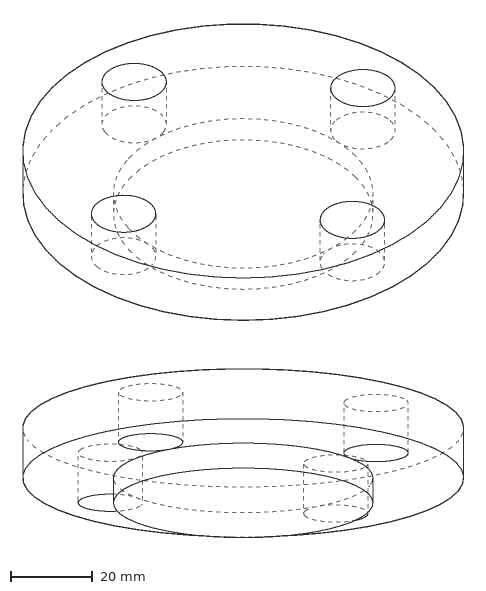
import cadquery as cq

INCH = 25.4

flange_diameter = 4.25 * INCH
flange_thickness = 0.5 * INCH

face_diameter = 2.5 * INCH
face_height = 0.25 * INCH

bolt_count = 4
bolt_circle_diameter = 3.12 * INCH
bolt_hole_diameter = 0.62 * INCH


def make_flange_disc():
    """Round disc standing on the plane where it meets the raised face."""
    return (
        cq.Workplane("XY")
        .workplane(offset=face_height)
        .circle(flange_diameter / 2)
        .extrude(flange_thickness)
    )


def drill_bolt_holes(disc):
    """Through holes on the bolt circle, on the X and Y axes."""
    return (
        disc.faces(">Z")
        .workplane()
        .polarArray(bolt_circle_diameter / 2, 0, 360, bolt_count)
        .hole(bolt_hole_diameter)
    )


def make_raised_face():
    """Plain round face, its underside on Z = 0."""
    return cq.Workplane("XY").circle(face_diameter / 2).extrude(face_height)


result = drill_bolt_holes(make_flange_disc()).union(make_raised_face())